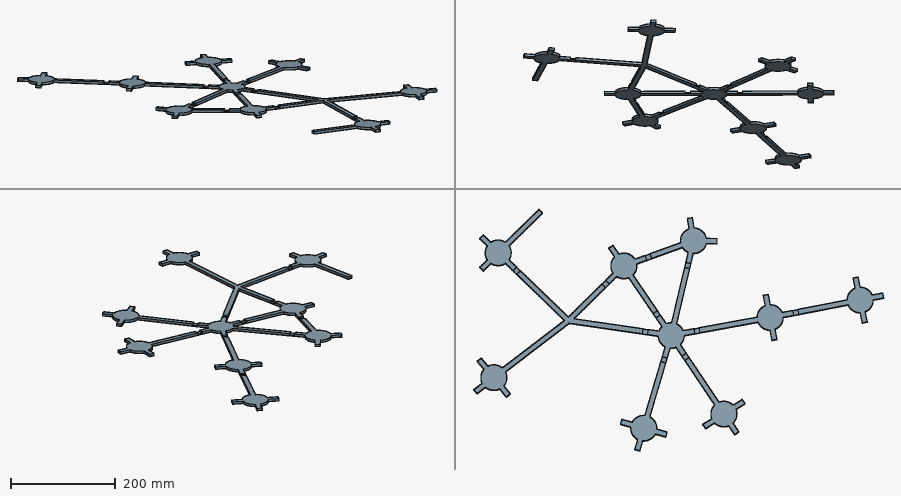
import cadquery as cq
import math

thickness = 5.0
disc_radius = 50.0 / 2
bar_width = 10.0
stub_reach = disc_radius + 20.0
long_arm_reach = 115.0
notch_start = stub_reach
notch_length = bar_width
notch_depth = thickness / 2
lower_stub_spread = 50.0

centre = (0.0, 0.0)
upper_left = (-80.0, 172.0)
left = (-177.0, 50.5)
inner_lower_left = (-119.0, -150.5)
outer_lower_left = (-226.5, -289.0)
lower = (90.0, -168.5)
inner_right = (158.0, -44.0)
outer_right = (355.5, 94.0)
top = (201.0, 284.5)
junction = (167.0, 106.5)

discs = [
    centre, upper_left, left, inner_lower_left, outer_lower_left,
    lower, inner_right, outer_right, top,
]

notched_bars = [
    (centre, upper_left),
    (centre, left),
    (centre, inner_lower_left),
    (centre, inner_right),
    (centre, junction),
    (inner_lower_left, outer_lower_left),
    (lower, centre),
    (inner_right, lower),
    (inner_right, junction),
    (outer_right, junction),
]
plain_bars = [(top, junction)]


def direction(start, end):
    """Angle in degrees of the line from start to end."""
    return math.degrees(math.atan2(end[1] - start[1], end[0] - start[0]))


turned_stubs = [
    (upper_left, centre, (90, 180, 270)),
    (left, centre, (90, 180, 270)),
    (inner_lower_left, centre, (90, 270)),
    (outer_lower_left, inner_lower_left, (90, 180, 270)),
    (inner_right, centre, (180,)),
    (outer_right, junction, (180, 270)),
    (top, junction, (90, 180, 270)),
]


def block(start, angle, near, far, base, height):
    """Bar-wide block lying between two distances from start along a direction."""
    return (
        cq.Workplane("XY")
        .box(far - near, bar_width, height, centered=(False, True, False))
        .translate((near, 0, base))
        .rotate((0, 0, 0), (0, 0, 1), angle)
        .translate((start[0], start[1], 0))
    )


def arm(start, angle, reach):
    """Full-thickness arm from start."""
    return block(start, angle, 0, reach, 0, thickness)


def notch(start, angle):
    """Material removed from the top of a bar for its cross notch."""
    return block(
        start, angle, notch_start, notch_start + notch_length, thickness - notch_depth, notch_depth
    )


result = cq.Workplane("XY").pushPoints(discs).circle(disc_radius).extrude(thickness)

for start, end in notched_bars + plain_bars:
    result = result.union(arm(start, direction(start, end), math.dist(start, end)))

for disc, neighbour, turns in turned_stubs:
    for turn in turns:
        result = result.union(arm(disc, direction(disc, neighbour) + turn, stub_reach))
for side in (-1, 1):
    result = result.union(arm(lower, -90 + side * lower_stub_spread, stub_reach))

long_arm_angle = direction(outer_right, junction) + 90
result = result.union(arm(outer_right, long_arm_angle, long_arm_reach))

for start, end in notched_bars:
    result = result.cut(notch(start, direction(start, end)))